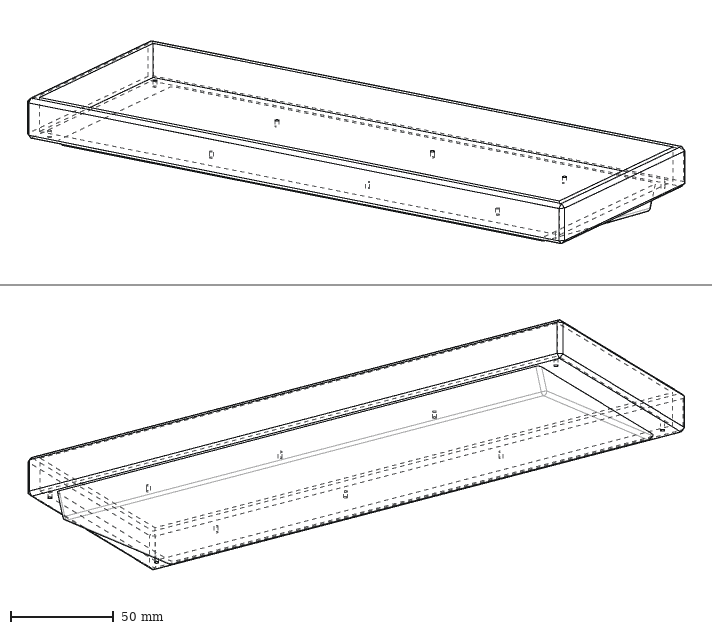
import cadquery as cq
import math

LENGTH = 312.0
WIDTH = 112.0
TRAY_HEIGHT = 20.5
WALL = 5.0
FLOOR = 3.0
EDGE_CHAMFER = 2.0

OVERALL_HEIGHT = 33.7
FOOT_HEIGHT = OVERALL_HEIGHT - TRAY_HEIGHT
FOOT_LENGTH = 282.0
FOOT_HEEL_Y = 46.8
FOOT_FRONT_Y = -51.0
FOOT_FILLET = 2.0
TILT = math.radians(6.2)
BACK_LEAN = math.radians(22)

HOLE_DIAMETER = 2.0
CORNER_HOLE_X = 147.5
CORNER_HOLE_Y = 47.5
CORNER_HOLES = [(x, y) for x in (-CORNER_HOLE_X, CORNER_HOLE_X) for y in (-CORNER_HOLE_Y, CORNER_HOLE_Y)]
BOARD_HOLES = [
    (-63.3, 26.8), (-63.3, -32.0),
    (26.8, 26.8), (26.8, -31.2),
    (103.0, 27.8), (103.0, -32.0),
]


def make_tray():
    """Open tray with every outer edge chamfered."""
    block = cq.Workplane("XY").box(LENGTH, WIDTH, TRAY_HEIGHT, centered=(True, True, False))
    block = block.edges().chamfer(EDGE_CHAMFER)
    pocket = (
        cq.Workplane("XY", origin=(0, 0, FLOOR))
        .rect(LENGTH - 2 * WALL, WIDTH - 2 * WALL)
        .extrude(TRAY_HEIGHT)
    )
    return block.cut(pocket)


def make_foot():
    """Tilting wedge, deepest near the back, rounded on every edge below the tray."""
    heel_turn = math.pi / 2 - BACK_LEAN + TILT
    fillet_setback = FOOT_FILLET * math.tan(heel_turn / 2)
    heel_drop = fillet_setback * math.sin(TILT) - FOOT_FILLET * (1 - math.cos(TILT))
    heel_depth = FOOT_HEIGHT + heel_drop

    back_y = FOOT_HEEL_Y + heel_depth * math.tan(BACK_LEAN)

    slope = math.tan(TILT)
    front_depth = (heel_depth - (FOOT_HEEL_Y - FOOT_FRONT_Y) * slope) / (1 - slope)

    profile = [
        (back_y, 0),
        (FOOT_HEEL_Y, -heel_depth),
        (FOOT_FRONT_Y + front_depth, -front_depth),
        (FOOT_FRONT_Y, 0),
    ]
    foot = cq.Workplane("YZ").polyline(profile).close().extrude(FOOT_LENGTH / 2, both=True)
    return foot.edges("not >Z").fillet(FOOT_FILLET)


def make_holes():
    """Drills through the tray floor; the board holes end blind on top of the foot."""
    return (
        cq.Workplane("XY")
        .pushPoints(CORNER_HOLES + BOARD_HOLES)
        .circle(HOLE_DIAMETER / 2)
        .extrude(FLOOR)
    )


result = make_tray().union(make_foot()).cut(make_holes())